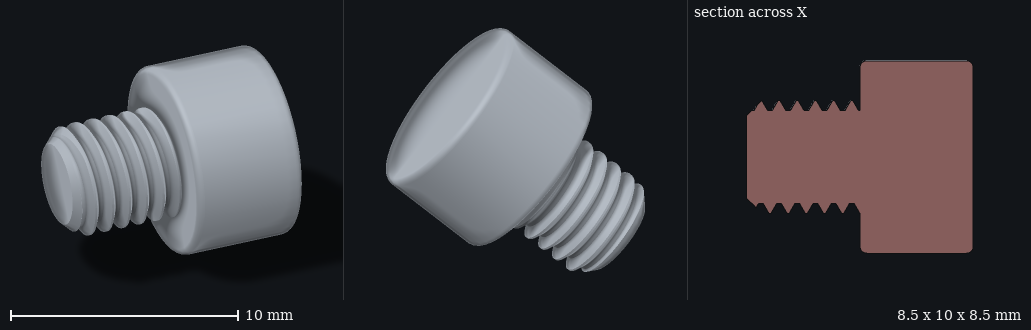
import cadquery as cq
import math

HEAD_DIAMETER = 8.5
HEAD_HEIGHT = 5.0
HEAD_EDGE_RADIUS = 0.3

MAJOR_DIAMETER = 5.0
PITCH = 0.8
SHANK_LENGTH = 5.0
THREAD_HALF_ANGLE = 30.0
CREST_WIDTH = PITCH / 8
ROOT_WIDTH = PITCH / 4
FLANK_SLOPE = math.tan(math.radians(THREAD_HALF_ANGLE))
THREAD_DEPTH = (PITCH - CREST_WIDTH - ROOT_WIDTH) / 2 / FLANK_SLOPE
MAJOR_RADIUS = MAJOR_DIAMETER / 2
ROOT_RADIUS = MAJOR_RADIUS - THREAD_DEPTH

POINT_INSET = 0.25
POINT_CHAMFER = THREAD_DEPTH + POINT_INSET

GROOVE_LEAD_IN = 1.05
GROOVE_RUN_OUT = 1.75
GROOVE_OVERCUT = 0.05

ROD_MARGIN = 1.0


def make_head():
    head = cq.Workplane("XY").circle(HEAD_DIAMETER / 2).extrude(-HEAD_HEIGHT)
    return head.edges("%CIRCLE").fillet(HEAD_EDGE_RADIUS)


def make_thread_groove():
    """Helical V groove with a flat root, longer than the shank at both ends."""
    start = -GROOVE_LEAD_IN
    length = GROOVE_LEAD_IN + SHANK_LENGTH + GROOVE_RUN_OUT
    outer_radius = MAJOR_RADIUS + GROOVE_OVERCUT
    root_half = ROOT_WIDTH / 2
    outer_half = root_half + (outer_radius - ROOT_RADIUS) * FLANK_SLOPE

    corners = [
        (ROOT_RADIUS, -root_half),
        (outer_radius, -outer_half),
        (outer_radius, outer_half),
        (ROOT_RADIUS, root_half),
    ]
    helices = [
        cq.Wire.makeHelix(PITCH, length, radius, center=cq.Vector(0, 0, start + offset))
        for radius, offset in corners
    ]
    neighbours = helices[1:] + helices[:1]
    faces = [cq.Face.makeRuledSurface(helix, other) for helix, other in zip(helices, neighbours)]

    for cap_points in (
        [helix.startPoint() for helix in helices],
        [helix.endPoint() for helix in helices],
    ):
        faces.append(cq.Face.makeFromWires(cq.Wire.makePolygon(cap_points, close=True)))
    return cq.Solid.makeSolid(cq.Shell.makeShell(faces))


def make_shank():
    """Overlong threaded rod, trimmed at the joint and to the chamfered point."""
    rod_start = -GROOVE_LEAD_IN - ROD_MARGIN
    rod_end = SHANK_LENGTH + GROOVE_RUN_OUT + ROD_MARGIN
    rod = cq.Workplane("XY", origin=(0, 0, rod_start)).circle(MAJOR_RADIUS).extrude(rod_end - rod_start)
    rod = rod.cut(make_thread_groove())
    envelope = cq.Workplane("XY").circle(MAJOR_RADIUS + ROD_MARGIN).extrude(SHANK_LENGTH)
    envelope = envelope.faces(">Z").chamfer(POINT_CHAMFER + ROD_MARGIN)
    return rod.intersect(envelope)


screw = make_head().union(make_shank())

result = screw.rotate((0, 0, 0), (1, 0, 0), 90)